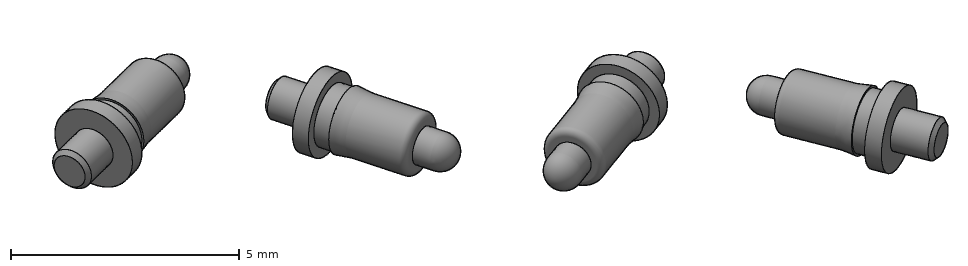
import cadquery as cq
import math

total_length = 4.6
flange_diameter = 2.0
flange_thickness = 0.4
tail_diameter = flange_diameter / 2
tail_length = 1.0
tail_chamfer = 0.1
barrel_diameter = 1.5
barrel_edge_radius = 0.15
neck_length = flange_thickness
barb_diameter = 1.6
barb_length = flange_thickness
plunger_diameter = 0.9
plunger_length = plunger_diameter


tail_radius = tail_diameter / 2
flange_radius = flange_diameter / 2
barrel_radius = barrel_diameter / 2
barb_radius = barb_diameter / 2
plunger_radius = plunger_diameter / 2

flange_start = tail_length
flange_end = flange_start + flange_thickness
barb_start = flange_end + neck_length
barb_end = barb_start + barb_length
barrel_end = total_length - plunger_length
dome_start = total_length - plunger_radius

arc_midpoint = math.sqrt(0.5)
edge_center_x = barrel_radius - barrel_edge_radius
edge_center_y = barrel_end - barrel_edge_radius
edge_middle = (
    edge_center_x + barrel_edge_radius * arc_midpoint,
    edge_center_y + barrel_edge_radius * arc_midpoint,
)
dome_middle = (plunger_radius * arc_midpoint, dome_start + plunger_radius * arc_midpoint)

half_profile = (
    cq.Workplane("XY")
    .lineTo(tail_radius - tail_chamfer, 0)
    .lineTo(tail_radius, tail_chamfer)
    .lineTo(tail_radius, flange_start)
    .lineTo(flange_radius, flange_start)
    .lineTo(flange_radius, flange_end)
    .lineTo(barrel_radius, flange_end)
    .lineTo(barrel_radius, barb_start)
    .lineTo(barb_radius, barb_start)
    .lineTo(barrel_radius, barb_end)
    .lineTo(barrel_radius, edge_center_y)
    .threePointArc(edge_middle, (edge_center_x, barrel_end))
    .lineTo(plunger_radius, barrel_end)
    .lineTo(plunger_radius, dome_start)
    .threePointArc(dome_middle, (0, total_length))
    .close()
)

result = half_profile.revolve(360, (0, 0), (0, 1))